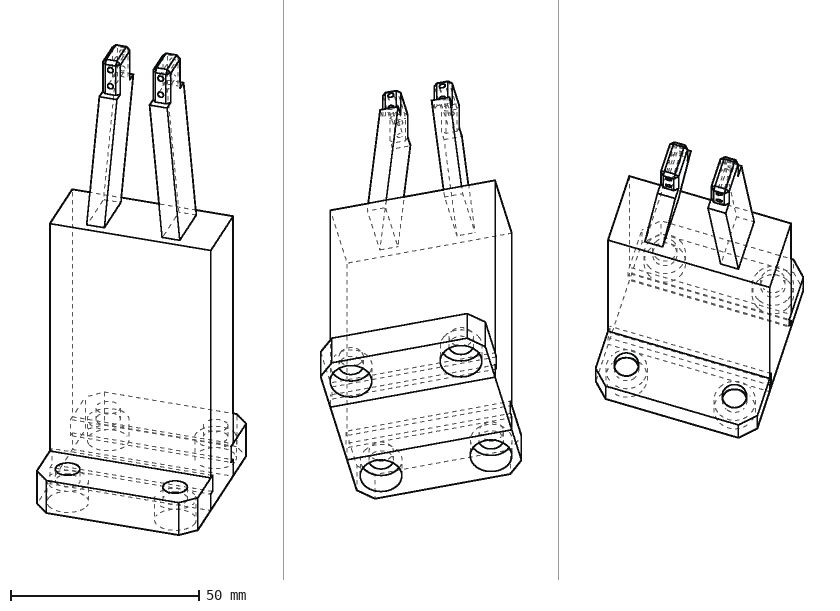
import cadquery as cq

WIDTH = 45.0
FLANGE_SPAN = 49.0
TOTAL_HEIGHT = 130.0

FLANGE_HEIGHT = 10.0
CORNER_CHAMFER = 4.0
BOLT_HOLE_DIAMETER = 6.5
COUNTERBORE_DIAMETER = 11.0
COUNTERBORE_DEPTH = 6.5
BOLT_SPACING_X = 30.0
BOLT_SPACING_Y = 34.0

BLOCK_DEPTH = 19.0
NECK_DEPTH = 16.0
GROOVE_HEIGHT = 5.0
GROOVE_BOTTOM = FLANGE_HEIGHT - GROOVE_HEIGHT

ARM_HEIGHT = 40.0
ARM_THICKNESS = 5.0
ARM_DEPTH = 14.0
ARM_BASE_INNER_X = 8.0
ARM_LEAN = 3.5
ARM_TOP_INNER_X = ARM_BASE_INNER_X - ARM_LEAN

TIP_HEIGHT = 10.0
TIP_DEPTH = 10.0
TIP_CHAMFER = 1.0
TIP_HOLE_DIAMETER = 1.5
TIP_HOLE_SPACING = 5.0
TIP_CENTRE_X = ARM_TOP_INNER_X + ARM_THICKNESS / 2

TIP_BASE = TOTAL_HEIGHT - TIP_HEIGHT
BLOCK_HEIGHT = TIP_BASE - ARM_HEIGHT


def box_on(base_z, width, depth, height):
    """Box centred in X and Y whose underside is at base_z."""
    return cq.Workplane("XY").workplane(offset=base_z).rect(width, depth).extrude(height)


def make_block_core():
    """Upright block, narrowed to a neck by the two side grooves."""
    foot = box_on(0, WIDTH, BLOCK_DEPTH, GROOVE_BOTTOM)
    neck = box_on(GROOVE_BOTTOM, WIDTH, NECK_DEPTH, GROOVE_HEIGHT)
    upper = box_on(FLANGE_HEIGHT, WIDTH, BLOCK_DEPTH, BLOCK_HEIGHT - FLANGE_HEIGHT)
    return foot.union(neck).union(upper)


def make_arm():
    """Right-hand arm, leaning inward as it rises."""
    outline = [
        (ARM_BASE_INNER_X, BLOCK_HEIGHT),
        (ARM_BASE_INNER_X + ARM_THICKNESS, BLOCK_HEIGHT),
        (ARM_TOP_INNER_X + ARM_THICKNESS, TIP_BASE),
        (ARM_TOP_INNER_X, TIP_BASE),
    ]
    return cq.Workplane("XZ").polyline(outline).close().extrude(ARM_DEPTH / 2, both=True)


def make_tip():
    """Right-hand contact tip: chamfered, with two small holes through it along Y."""
    tip = box_on(TIP_BASE, ARM_THICKNESS, TIP_DEPTH, TIP_HEIGHT)
    tip = tip.edges("|Z or >Z").chamfer(TIP_CHAMFER)
    holes = (
        cq.Workplane("XZ")
        .center(0, TIP_BASE + TIP_HEIGHT / 2)
        .rarray(1.3, TIP_HOLE_SPACING, 1, 2)
        .circle(TIP_HOLE_DIAMETER / 2)
        .extrude(TIP_DEPTH, both=True)
    )
    return tip.cut(holes).translate((TIP_CENTRE_X, 0, 0))


def make_block():
    """Block with its mirrored pair of arms and tips, one solid."""
    right_arm = make_arm().union(make_tip())
    left_arm = right_arm.mirror("YZ")
    return make_block_core().union(right_arm).union(left_arm)


def make_bolt_cylinders(side, diameter, height):
    """Pair of upright cylinders at the bolt positions of one flange, rising from Z = 0."""
    return (
        cq.Workplane("XY")
        .center(0, side * BOLT_SPACING_Y / 2)
        .rarray(BOLT_SPACING_X, 1.3, 2, 1)
        .circle(diameter / 2)
        .extrude(height)
    )


def make_flange(side):
    """Flange on the +Y (side = 1) or -Y (side = -1) flank, with a lip filling the groove.

    Its bolt holes are counterbored from below.
    """
    profile = [
        (side * BLOCK_DEPTH / 2, 0),
        (side * FLANGE_SPAN / 2, 0),
        (side * FLANGE_SPAN / 2, FLANGE_HEIGHT),
        (side * NECK_DEPTH / 2, FLANGE_HEIGHT),
        (side * NECK_DEPTH / 2, GROOVE_BOTTOM),
        (side * BLOCK_DEPTH / 2, GROOVE_BOTTOM),
    ]
    flange = cq.Workplane("YZ").polyline(profile).close().extrude(WIDTH / 2, both=True)
    outer_face = ">Y" if side > 0 else "<Y"
    flange = flange.faces(outer_face).edges("|Z").chamfer(CORNER_CHAMFER)
    bolt_holes = make_bolt_cylinders(side, BOLT_HOLE_DIAMETER, FLANGE_HEIGHT)
    counterbores = make_bolt_cylinders(side, COUNTERBORE_DIAMETER, COUNTERBORE_DEPTH)
    return flange.cut(bolt_holes).cut(counterbores)


block = make_block()
flanges = [make_flange(side) for side in (-1, 1)]

result = cq.Compound.makeCompound([
    *block.solids().vals(),
    *[flange.solids().val() for flange in flanges],
])